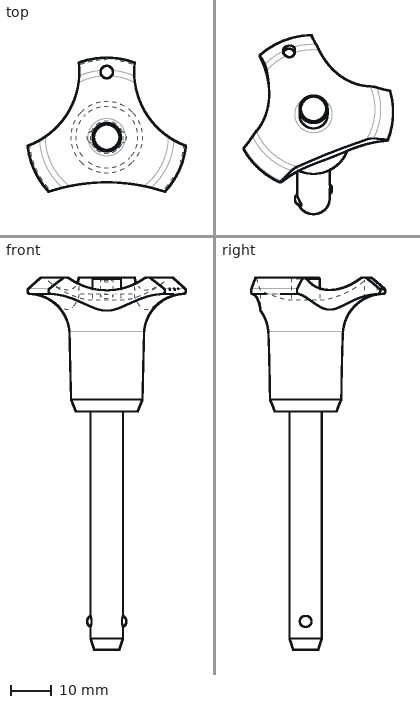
import math
import cadquery as cq

overall_length = 91.5
handle_height = 33.0
shank_length = overall_length - handle_height

shank_radius = 4.0
nose_radius = 3.1
nose_length = 2.75
ball_radius = 1.5
ball_reach = 4.85
ball_height = 7.0

collar_radius = 7.6
grip_base_radius = 8.8
grip_base_height = 3.0
grip_top_radius = 9.2
grip_top_height = 19.75

flare_waist_depth = 8.2
waist_radius = 11.1
rim_radius = 19.6
rim_depth = 3.35
rim_round_radius = 0.8
rim_top_angle = 50
rim_bottom_angle = 72
lip_crest_radius = 15.8
lip_half_width = 0.7
lip_drop = 0.3
dish_waist_depth = 3.2
dish_floor_depth = 5.6
dish_floor_radius = 4.6

rear_corner_x = 6.9
front_corner_x = 14.3
side_corner_x = 19.485
side_scallop_radius = 19.3

button_radius = 3.5
button_chamfer = 0.4
lanyard_hole_radius = 1.5
lanyard_hole_y = 16.0


def rim_y(x):
    """Distance from the XZ plane of the rim point at the given x."""
    return math.sqrt(rim_radius**2 - x**2)


def rim_round_point(angle):
    """Profile point of the rim round at an angle in degrees above its widest circle."""
    radius = rim_radius - rim_round_radius * (1 - math.cos(math.radians(angle)))
    height = handle_height - rim_depth + rim_round_radius * math.sin(math.radians(angle))
    return radius, height


def make_handle_body():
    top = handle_height
    rim_top = rim_round_point(rim_top_angle)
    rim_bottom = rim_round_point(-rim_bottom_angle)
    lip_edge_z = top - lip_drop
    profile = (
        cq.Workplane("XZ")
        .moveTo(0, 0)
        .lineTo(collar_radius, 0)
        .lineTo(grip_base_radius, grip_base_height)
        .lineTo(grip_top_radius, grip_top_height)
        .threePointArc((waist_radius, top - flare_waist_depth), rim_bottom)
        .threePointArc(rim_round_point(-rim_bottom_angle / 2), (rim_radius, top - rim_depth))
        .threePointArc(rim_round_point(rim_top_angle / 2), rim_top)
        .lineTo(lip_crest_radius + lip_half_width, lip_edge_z)
        .threePointArc((lip_crest_radius, top), (lip_crest_radius - lip_half_width, lip_edge_z))
        .threePointArc((waist_radius, top - dish_waist_depth), (dish_floor_radius, top - dish_floor_depth))
        .lineTo(0, top - dish_floor_depth)
        .close()
    )
    return profile.revolve(360, (0, 0, 0), (0, 1, 0))


def make_arm_outline():
    rear_y = rim_y(rear_corner_x)
    side_y = -rim_y(side_corner_x)
    front_y = -rim_y(front_corner_x)
    arm_mid_angle = (math.atan2(side_y, side_corner_x) + math.atan2(front_y, front_corner_x)) / 2
    arm_mid_x = rim_radius * math.cos(arm_mid_angle)
    arm_mid_y = rim_radius * math.sin(arm_mid_angle)
    return (
        cq.Workplane("XY")
        .moveTo(-rear_corner_x, rear_y)
        .threePointArc((0, rim_radius), (rear_corner_x, rear_y))
        .radiusArc((side_corner_x, side_y), -side_scallop_radius)
        .threePointArc((arm_mid_x, arm_mid_y), (front_corner_x, front_y))
        .threePointArc((0, -waist_radius), (-front_corner_x, front_y))
        .threePointArc((-arm_mid_x, arm_mid_y), (-side_corner_x, side_y))
        .radiusArc((-rear_corner_x, rear_y), -side_scallop_radius)
        .close()
        .extrude(handle_height)
    )


def make_handle():
    lanyard_hole = (
        cq.Workplane("XY")
        .center(0, lanyard_hole_y)
        .circle(lanyard_hole_radius)
        .extrude(handle_height)
    )
    return make_handle_body().intersect(make_arm_outline()).cut(lanyard_hole)


def make_shank():
    return (
        cq.Workplane("XZ")
        .moveTo(0, -shank_length)
        .lineTo(nose_radius, -shank_length)
        .lineTo(shank_radius, nose_length - shank_length)
        .lineTo(shank_radius, 0)
        .lineTo(0, 0)
        .close()
        .revolve(360, (0, 0, 0), (0, 1, 0))
    )


def make_ball(side):
    centre_x = side * (ball_reach - ball_radius)
    return cq.Workplane("XY").sphere(ball_radius).translate((centre_x, 0, ball_height - shank_length))


def make_button():
    base = handle_height - dish_floor_depth
    return (
        cq.Workplane("XY", origin=(0, 0, base))
        .circle(button_radius)
        .extrude(dish_floor_depth)
        .faces(">Z")
        .chamfer(button_chamfer)
    )


result = make_handle().union(make_shank()).union(make_button())
for side in (-1, 1):
    result = result.union(make_ball(side))